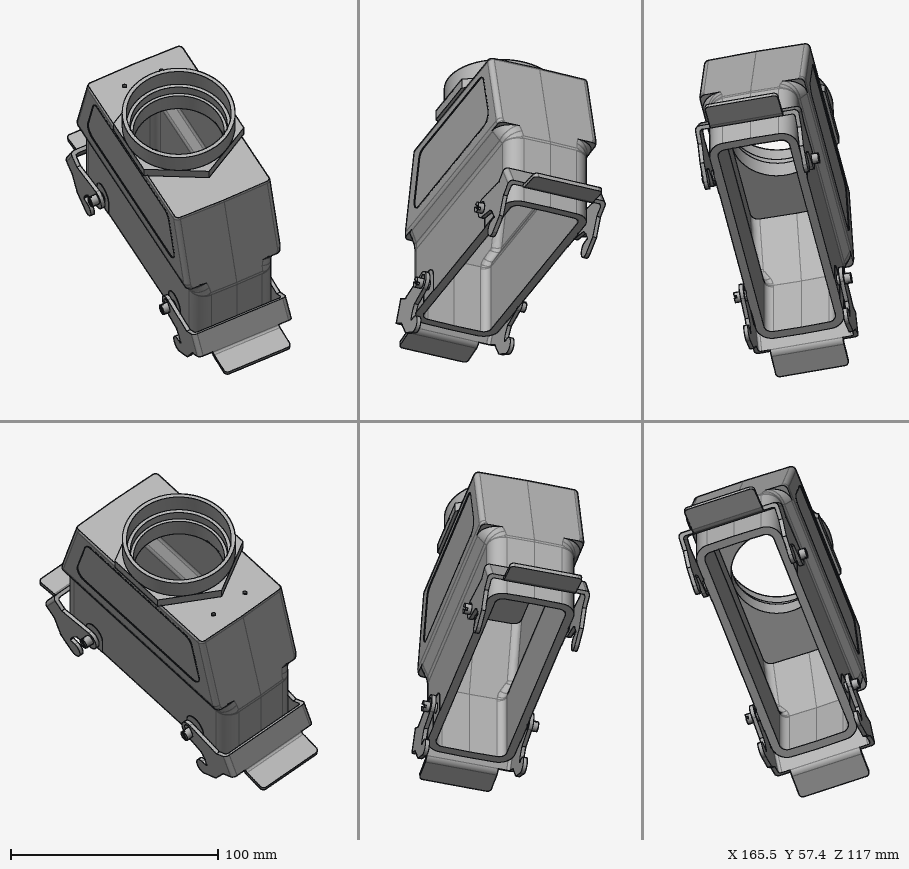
import cadquery as cq
import math

HOOD_HEIGHT = 87.0
BASE_HALF_X = 60.5
BASE_HALF_Y = 21.7
BASE_CORNER_R = 8.0
UPPER_HALF_Y = 26.1
UPPER_CORNER_R = 2.5
SHOULDER_Z = 37.1
LEDGE_Z = 44.0
SHOULDER_LEAN = 30.0
END_BEND_Z = 36.8
END_BEVEL_HALF_HEIGHT = 0.75
END_LEAN = 15.0
END_CROWN = 1.0
SHOULDER_FILLET_R = 5.0
TOP_TRIM = 0.9
FULL_HEIGHT = HOOD_HEIGHT + TOP_TRIM
WALL = 4.1
ROOF = 10.0

PANEL_BOTTOM_Z = 51.8
PANEL_TOP_Z = 81.8
PANEL_EDGE_GAP = 10.1
PANEL_CORNER_R = 5.0
PANEL_DEPTH = 0.5

DIMPLE_DIAMETER = 2.0
DIMPLE_DEPTH = 2.0
DIMPLE_X = -37.0
DIMPLE_Y = 10.0

PIN_X = 37.1
PIN_Z = 6.55
PIN_DIAMETER = 5.0
PIN_SPAN = 57.4
PIN_SLOT_WIDTH = 1.2
PIN_SLOT_DEPTH = 1.2
PIN_SLOT_ANGLE = 45.0
PAD_R = 6.0
PAD_CENTRE_Z = 8.4
PAD_RAISE = 0.2

GLAND_DIAMETER = 54.5
HEX_ACROSS_FLATS = 54.5
HEX_HEIGHT = 5.0
COLLAR_HEIGHT = 10.0
THREAD_DIAMETER = 50.5
THREAD_DEPTH = 10.0
SEAT_DIAMETER = 47.0
CABLE_BORE_DIAMETER = 44.0

LEVER_HALF_Y = 25.5
SHEET = 2.0
LEVER_OUTER_BEND_R = 2.25
LEVER_INNER_BEND_R = 1.5
PLATE_TILT = 27.4
PLATE_LENGTH = 12.2
PLATE_TOP = (26.9, 6.9)
ARM_NECK = (19.9, 2.87)
EYE_R = 5.0
LEVER_SLOT_TRAVEL = 2.0
LEVER_SLOT_ANGLE = 120.0
THROAT_MOUTH = (8.6, -6.6)
THROAT_MIDDLE = (11.7, -10.5)
THROAT_BOTTOM = (12.7, -12.8)
HOOK_CENTRE = (9.4, -17.53)
HOOK_R = 4.0
HEEL = (19.55, -16.7)
HEEL_TOP = (24.85, -8.15)
FLAP_DROOP = 7.4
FLAP_DROP = 0.9
FLAP_LENGTH = 12.67
FLAP_HALF_Y = 17.9
FLAP_CORNER_R = 2.0
FLAP_INNER_BEND_R = 1.6
RIGHT_LEVER_LIFT = 3.0


def sloped_half_x(z):
    """Half length of the housing at height z, above the bend in the end faces."""
    return BASE_HALF_X - (z - END_BEND_Z) * math.tan(math.radians(END_LEAN))


def side_walls(inset):
    """Bar along X with the housing's stepped cross-section, moved inward by inset."""
    low_y = BASE_HALF_Y - inset
    high_y = UPPER_HALF_Y - inset
    shoulder_top = SHOULDER_Z + (high_y - low_y) / math.tan(math.radians(SHOULDER_LEAN))
    bar = (
        cq.Workplane("YZ")
        .polyline([
            (-low_y, 0),
            (low_y, 0),
            (low_y, SHOULDER_Z),
            (high_y, shoulder_top),
            (high_y, FULL_HEIGHT),
            (-high_y, FULL_HEIGHT),
            (-high_y, shoulder_top),
            (-low_y, SHOULDER_Z),
        ])
        .close()
        .extrude(2 * BASE_HALF_X, both=True)
    )
    shoulder_edges = cq.selectors.BoxSelector(
        (-BASE_HALF_X, -FULL_HEIGHT, SHOULDER_Z - 1),
        (BASE_HALF_X, FULL_HEIGHT, shoulder_top + 1),
    )
    return bar.edges("|X").edges(shoulder_edges).fillet(SHOULDER_FILLET_R)


def crowned_outline(z, half_x):
    """Plan outline at height z, wider than the housing, with bluntly pointed ends."""
    reach_y = 2 * BASE_HALF_Y
    side_x = half_x - reach_y * math.tan(math.radians(END_CROWN))
    points = [
        (half_x, 0),
        (side_x, reach_y),
        (-side_x, reach_y),
        (-half_x, 0),
        (-side_x, -reach_y),
        (side_x, -reach_y),
    ]
    return cq.Workplane("XY", origin=(0, 0, z)).polyline(points).close().val()


def end_walls(inset):
    """Block bounded by the upright lower and leaning upper end faces, moved inward by inset."""
    outlines = [
        crowned_outline(z, half_x - inset)
        for z, half_x in (
            (0, BASE_HALF_X),
            (END_BEND_Z, BASE_HALF_X),
            (FULL_HEIGHT, sloped_half_x(FULL_HEIGHT)),
        )
    ]
    lower = cq.Workplane(obj=cq.Solid.makeLoft(outlines[:2], True))
    upper = cq.Workplane(obj=cq.Solid.makeLoft(outlines[1:], True))
    return lower.union(upper)


def corner_quarter(block):
    """The quarter of a block that lies on the -X and -Y sides."""
    quarter_space = cq.Workplane("XY").box(
        2 * BASE_HALF_X, 2 * BASE_HALF_X, 4 * FULL_HEIGHT
    )
    return block.intersect(quarter_space.translate((-BASE_HALF_X, -BASE_HALF_X, 0)))


def four_quarters(quarter):
    """Whole block from its -X, -Y quarter."""
    half = quarter.union(quarter.mirror("XZ"))
    return half.union(half.mirror("YZ"))


def round_corner(quarter, radius):
    """Quarter block with its one corner, where side meets end, rounded."""
    corner_edges = [
        edge
        for edge in quarter.edges().vals()
        if edge.BoundingBox().zlen > 0.5
        and edge.Center().y < -BASE_HALF_Y / 2
        and edge.Center().x < -BASE_HALF_X / 2
    ]
    return quarter.newObject([quarter.val().fillet(radius, corner_edges)])


def space_above(z):
    """Large block that fills everything above height z."""
    return cq.Workplane("XY", origin=(0, 0, z + FULL_HEIGHT / 2)).box(
        4 * BASE_HALF_X, 4 * BASE_HALF_X, FULL_HEIGHT
    )


def end_bevel():
    """Cutter whose face bevels the bend in the -X end of the -X, -Y quarter."""
    depth = BASE_CORNER_R
    width = 4 * BASE_HALF_Y
    return (
        cq.Workplane("XY", origin=(-depth / 2, 0, 0))
        .box(depth, width, HOOD_HEIGHT)
        .rotate((0, 0, 0), (0, 1, 0), END_LEAN / 2)
        .rotate((0, 0, 0), (0, 0, 1), END_CROWN)
        .translate((-BASE_HALF_X, 0, END_BEND_Z - END_BEVEL_HALF_HEIGHT))
    )


def hood_outside():
    """Outer shape: broad base corners up to the ledge, then tighter corners above it."""
    quarter = corner_quarter(side_walls(0).intersect(end_walls(0)))
    base = round_corner(quarter, BASE_CORNER_R).cut(space_above(LEDGE_Z)).cut(end_bevel())
    upper = round_corner(quarter.intersect(space_above(LEDGE_Z)), UPPER_CORNER_R)
    top = four_quarters(upper).faces(">Z").edges().fillet(UPPER_CORNER_R)
    block = four_quarters(base).union(top)
    return block.cut(space_above(HOOD_HEIGHT))


def hood_cavity():
    """Hollow inside the walls, open at the bottom and closed by the roof."""
    quarter = corner_quarter(side_walls(WALL).intersect(end_walls(WALL)))
    cavity = four_quarters(round_corner(quarter, BASE_CORNER_R - WALL))
    return cavity.cut(space_above(HOOD_HEIGHT - ROOF))


def name_panel(side):
    """Shallow recess cutter for the label panel on the side at Y = side * UPPER_HALF_Y."""
    bottom_x = sloped_half_x(PANEL_BOTTOM_Z) - PANEL_EDGE_GAP
    top_x = sloped_half_x(PANEL_TOP_Z) - PANEL_EDGE_GAP
    floor_y = side * (UPPER_HALF_Y - PANEL_DEPTH)
    return (
        cq.Workplane("XZ", origin=(0, floor_y, 0))
        .polyline([
            (-bottom_x, PANEL_BOTTOM_Z),
            (bottom_x, PANEL_BOTTOM_Z),
            (top_x, PANEL_TOP_Z),
            (-top_x, PANEL_TOP_Z),
        ])
        .close()
        .extrude(-side * 2 * PANEL_DEPTH)
        .edges("|Y")
        .fillet(PANEL_CORNER_R)
    )


def hinge_pin(x):
    """Pad and slotted hinge pin on the -Y side at the given X."""
    inner_y = -(BASE_HALF_Y - WALL / 2)
    pad_length = BASE_HALF_Y + PAD_RAISE + inner_y
    pad_plane = cq.Workplane("XZ", origin=(x, inner_y, 0))
    pad = pad_plane.center(0, PAD_CENTRE_Z).circle(PAD_R).extrude(pad_length)
    pad = pad.union(
        pad_plane.center(0, PAD_CENTRE_Z / 2).rect(2 * PAD_R, PAD_CENTRE_Z).extrude(pad_length)
    )
    pin = (
        cq.Workplane("XZ", origin=(x, inner_y, PIN_Z))
        .circle(PIN_DIAMETER / 2)
        .extrude(PIN_SPAN / 2 + inner_y)
    )
    slot = (
        cq.Workplane("XZ", origin=(x, PIN_SLOT_DEPTH - PIN_SPAN / 2, PIN_Z))
        .transformed(rotate=(0, 0, -PIN_SLOT_ANGLE))
        .rect(2 * PIN_DIAMETER, PIN_SLOT_WIDTH)
        .extrude(PIN_SLOT_DEPTH)
    )
    return pad.union(pin.cut(slot))


def make_housing():
    body = hood_outside().cut(hood_cavity())
    body = body.cut(
        cq.Workplane("XY", origin=(0, 0, HOOD_HEIGHT)).circle(CABLE_BORE_DIAMETER / 2).extrude(-ROOF)
    )
    for side in (-1, 1):
        body = body.cut(name_panel(side))
    body = body.cut(
        cq.Workplane("XY", origin=(0, 0, HOOD_HEIGHT))
        .pushPoints([(DIMPLE_X, -DIMPLE_Y), (DIMPLE_X, DIMPLE_Y)])
        .circle(DIMPLE_DIAMETER / 2)
        .extrude(-DIMPLE_DEPTH)
    )
    for x in (-PIN_X, PIN_X):
        pin = hinge_pin(x)
        body = body.union(pin)
        body = body.union(pin.rotate((0, 0, 0), (0, 0, 1), 180))
    return body


def make_gland():
    height = HEX_HEIGHT + COLLAR_HEIGHT
    hex_across_corners = HEX_ACROSS_FLATS / math.cos(math.radians(30))
    foot = cq.Workplane("XY", origin=(0, 0, HOOD_HEIGHT))
    gland = foot.polygon(6, hex_across_corners).extrude(HEX_HEIGHT)
    gland = gland.union(foot.circle(GLAND_DIAMETER / 2).extrude(height))
    gland = gland.cut(foot.circle(SEAT_DIAMETER / 2).extrude(height))
    thread_foot = foot.workplane(offset=height - THREAD_DEPTH)
    return gland.cut(thread_foot.circle(THREAD_DIAMETER / 2).extrude(THREAD_DEPTH))


def polar(centre, radius, angle):
    """Point at the given radius and angle (degrees) from centre."""
    turn = math.radians(angle)
    return (centre[0] + radius * math.cos(turn), centre[1] + radius * math.sin(turn))


def tangent_angle(centre, radius, point, side):
    """Angle (degrees) at which a line from point touches a circle, on the chosen side."""
    du = point[0] - centre[0]
    dw = point[1] - centre[1]
    spread = math.acos(radius / math.hypot(du, dw))
    return math.degrees(math.atan2(dw, du) + side * spread)


EYE_CENTRE = polar((0, 0), LEVER_SLOT_TRAVEL / 2, LEVER_SLOT_ANGLE)
DOWN_PLATE = PLATE_TILT - 90
INTO_PLATE = PLATE_TILT + 180
PLATE_BOTTOM = polar(PLATE_TOP, PLATE_LENGTH, DOWN_PLATE)


def lever_side():
    """Full-width solid with the side outline of the eye, arm, hook and end plate."""
    eye_top = tangent_angle(EYE_CENTRE, EYE_R, ARM_NECK, 1)
    eye_bottom = tangent_angle(EYE_CENTRE, EYE_R, THROAT_MOUTH, -1)
    hook_bottom = tangent_angle(HOOK_CENTRE, HOOK_R, HEEL, -1)
    eye_mid = (eye_top + eye_bottom + 360) / 2
    hook_mid = (90 + hook_bottom + 360) / 2
    return (
        cq.Workplane("XZ", origin=(0, LEVER_HALF_Y, 0))
        .moveTo(*PLATE_TOP)
        .lineTo(*ARM_NECK)
        .lineTo(*polar(EYE_CENTRE, EYE_R, eye_top))
        .threePointArc(
            polar(EYE_CENTRE, EYE_R, eye_mid),
            polar(EYE_CENTRE, EYE_R, eye_bottom),
        )
        .lineTo(*THROAT_MOUTH)
        .threePointArc(THROAT_MIDDLE, THROAT_BOTTOM)
        .lineTo(THROAT_BOTTOM[0], HOOK_CENTRE[1] + HOOK_R)
        .lineTo(*polar(HOOK_CENTRE, HOOK_R, 90))
        .threePointArc(
            polar(HOOK_CENTRE, HOOK_R, hook_mid),
            polar(HOOK_CENTRE, HOOK_R, hook_bottom),
        )
        .lineTo(*HEEL)
        .lineTo(*HEEL_TOP)
        .lineTo(*PLATE_BOTTOM)
        .close()
        .extrude(2 * LEVER_HALF_Y)
    )


def plate_frame():
    """Plane at the plate's top edge: its X runs down the plate, its Z along -Y."""
    down = polar((0, 0), 1, DOWN_PLATE)
    return cq.Plane(
        origin=(PLATE_TOP[0], 0, PLATE_TOP[1]),
        xDir=(down[0], 0, down[1]),
        normal=(0, -1, 0),
    )


def between_arms():
    """Cutter that leaves the two arms and the end plate one sheet thick."""
    reach = 4 * PLATE_LENGTH
    width = 2 * (LEVER_HALF_Y - SHEET)
    return (
        cq.Workplane(plate_frame())
        .center(0, -SHEET - reach / 2)
        .box(2 * reach, reach, width)
        .edges(cq.selectors.ParallelDirSelector(plate_frame().xDir))
        .fillet(LEVER_INNER_BEND_R)
    )


def grip_flap():
    """Sheet that leaves the plate's lower edge and bends outward as a finger grip."""
    flap_out = -FLAP_DROOP
    inner_bottom = polar(PLATE_BOTTOM, SHEET, INTO_PLATE)
    bend_top = polar(PLATE_BOTTOM, FLAP_DROP, DOWN_PLATE)
    tip_top = polar(bend_top, FLAP_LENGTH, flap_out)
    tip_bottom = polar(tip_top, SHEET, flap_out - 90)
    half_bend = math.radians(flap_out - DOWN_PLATE) / 2
    bend_bottom = polar(
        polar(bend_top, SHEET, INTO_PLATE), SHEET * math.tan(half_bend), DOWN_PLATE
    )
    root = polar(PLATE_BOTTOM, SHEET, DOWN_PLATE + 180)
    inner_root = polar(inner_bottom, SHEET, DOWN_PLATE + 180)
    flap = (
        cq.Workplane("XZ", origin=(0, FLAP_HALF_Y, 0))
        .polyline([root, bend_top, tip_top, tip_bottom, bend_bottom, inner_root])
        .close()
        .extrude(2 * FLAP_HALF_Y)
    )
    bend_radii = ((bend_top, FLAP_INNER_BEND_R), (bend_bottom, FLAP_INNER_BEND_R + SHEET))
    for bend, radius in bend_radii:
        bend_edge = cq.selectors.NearestToPointSelector((bend[0], 0, bend[1]))
        flap = flap.edges("|Y").edges(bend_edge).fillet(radius)
    tip_direction = polar((0, 0), 1, flap_out - 90)
    tip_corners = cq.selectors.ParallelDirSelector(
        cq.Vector(tip_direction[0], 0, tip_direction[1])
    )
    return flap.edges(tip_corners).edges(">X").fillet(FLAP_CORNER_R)


def make_lever(lift):
    """Lever on the +X pin, turned up about the pin by lift degrees."""
    plate_edges = cq.selectors.ParallelDirSelector(plate_frame().xDir)
    lever = lever_side().edges(plate_edges).edges(">X").fillet(LEVER_OUTER_BEND_R)
    lever = lever.cut(between_arms())
    lever = lever.union(grip_flap())
    slot = (
        cq.Workplane("XZ", origin=(EYE_CENTRE[0], LEVER_HALF_Y, EYE_CENTRE[1]))
        .slot2D(PIN_DIAMETER + LEVER_SLOT_TRAVEL, PIN_DIAMETER, LEVER_SLOT_ANGLE)
        .extrude(2 * LEVER_HALF_Y)
    )
    lever = lever.cut(slot).rotate((0, 0, 0), (0, -1, 0), lift)
    return lever.translate((PIN_X, 0, PIN_Z))


housing = make_housing()
gland = make_gland()
right_lever = make_lever(RIGHT_LEVER_LIFT)
left_lever = make_lever(0).mirror("YZ")

result = cq.Compound.makeCompound(
    [housing.val(), gland.val(), right_lever.val(), left_lever.val()]
)